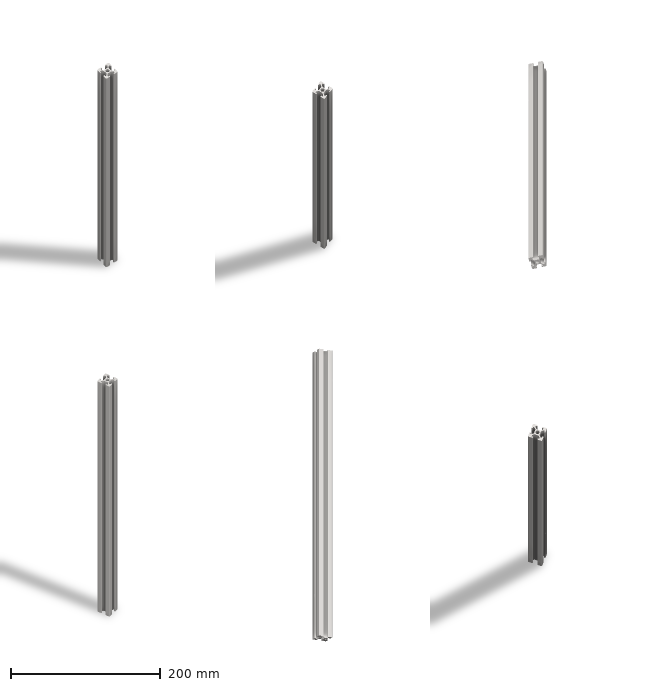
import cadquery as cq

side = 20.0
length = 400.0
corner_radius = 1.0

slot_width = 6.5
mouth_radius = 0.6
lip_thickness = 1.8
cavity_width = 11.0

core_width = 8.0
web_offset = 1.0
bore_diameter = 5.0

half_side = side / 2
half_slot = slot_width / 2
half_core = core_width / 2
half_cavity = cavity_width / 2


def make_bar():
    """Square bar with rounded long edges."""
    bar = cq.Workplane("XY").rect(side, side).extrude(length)
    return bar.edges("|Z").fillet(corner_radius)


def make_slot():
    """T-slot cutter opening toward +Y; its lower flanks follow the diagonal webs."""
    lip_level = half_side - lip_thickness
    mouth_level = half_side - mouth_radius
    mouth_edge = half_slot + mouth_radius
    right_flank = [
        (half_slot, lip_level),
        (half_cavity, lip_level),
        (half_cavity, half_cavity + web_offset),
        (half_core - web_offset, half_core),
    ]
    left_flank = [(-x, y) for x, y in reversed(right_flank)]
    profile = (
        cq.Workplane("XY")
        .moveTo(mouth_edge, half_side)
        .radiusArc((half_slot, mouth_level), -mouth_radius)
        .polyline(right_flank + left_flank + [(-half_slot, mouth_level)], includeCurrent=True)
        .radiusArc((-mouth_edge, half_side), -mouth_radius)
        .close()
    )
    return profile.extrude(length)


def make_bore():
    """Round hole along the whole axis."""
    return cq.Workplane("XY").circle(bore_diameter / 2).extrude(length)


result = make_bar().cut(make_bore())
slot = make_slot()
for quarter_turn in range(4):
    result = result.cut(slot.rotate((0, 0, 0), (0, 0, 1), 90 * quarter_turn))